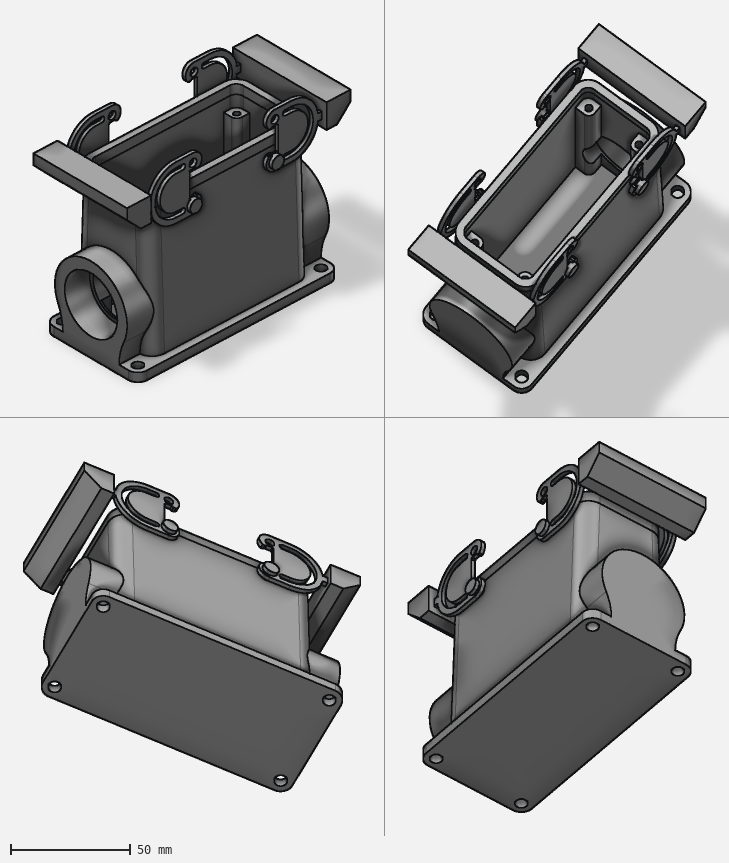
import cadquery as cq
import math

base_x = 56.5
base_y = 117.0
base_height = 5.0
base_corner = 5.5
mount_hole_d = 5.5
mount_hole_x = base_x / 2 - base_corner
mount_hole_y = base_y / 2 - base_corner

wall_bottom_x = 48.1
wall_top_x = 43.0
wall_y = 93.0
wall_corner = 7.6
wall_top_z = 78.7
wall_thickness = 3.6

seal_top_z = 84.0

post_hole_x = 13.4
post_hole_y = 38.7
post_hole_d = 3.2
post_hole_depth = 20.0
post_corner = 3.2
post_edge = 3.4
post_top_z = 72.0

boss_radius = 22.0
boss_z = 27.0
boss_waist = 17.1
entry_radius = 16.0
entry_inner_radius = 14.0
entry_depth = 14.5

bar_x = 57.0
bar_size = 14.0
bar_chamfer = 8.0
bar_outer_y = 129.5 / 2
bar_bottom_z = 78.5
plate_x = 24.6
plate_thickness = 2.0
plate_radius = 15.5
plate_z = 84.5
plate_arc_y = 33.2
hook_y = 23.7
hook_radius = 5.0
hook_hole_d = 4.2
throat_y = 25.6
throat_corner = 0.6
hook_gap = 3.0
tip_start = 1.4
tip_end = 2.3
tip_drop = 3.7
slot_radius = 11.1
slot_width = 2.9
slot_end_y = 28.2
tab_height = 4.0
pin_d = 4.0
pin_head_d = 7.0
pin_head_x = 27.5

cavity_x = wall_top_x - 2 * wall_thickness
cavity_y = wall_y - 2 * wall_thickness
cavity_corner = wall_corner - wall_thickness


def rounded_block(size_x, size_y, corner, bottom_z, top_z):
    block = cq.Workplane("XY").workplane(offset=bottom_z).rect(size_x, size_y)
    return block.extrude(top_z - bottom_z).edges("|Z").fillet(corner)


def cylinder_x(radius, x_start, x_end, y, z):
    start = cq.Workplane("YZ", origin=(x_start, y, z))
    return start.circle(radius).extrude(x_end - x_start)


def make_base():
    base = rounded_block(base_x, base_y, base_corner, 0, base_height)
    holes = base.faces(">Z").workplane().rect(2 * mount_hole_x, 2 * mount_hole_y, forConstruction=True)
    return holes.vertices().hole(mount_hole_d)


def make_walls():
    half_bottom = wall_bottom_x / 2
    half_top = wall_top_x / 2
    section = cq.Workplane("XZ", origin=(0, wall_y / 2, 0)).polyline([
        (-half_bottom, base_height),
        (half_bottom, base_height),
        (half_top, wall_top_z),
        (-half_top, wall_top_z),
    ])
    return section.close().extrude(wall_y).edges("not(|X or |Y)").fillet(wall_corner)


def make_boss_block():
    rise = boss_z - base_height
    foot_radius = (boss_waist**2 + rise**2 - boss_radius**2) / (2 * (boss_radius - boss_waist))
    foot_x = boss_waist + foot_radius
    angle = math.atan2(rise, foot_x)
    half = angle / 2
    tangent = (boss_radius * math.cos(angle), boss_z - boss_radius * math.sin(angle))
    foot_mid = (foot_x - foot_radius * math.cos(half), base_height + foot_radius * math.sin(half))
    profile = (
        cq.Workplane("XZ", origin=(0, base_y / 2, 0))
        .moveTo(-boss_waist, base_height)
        .threePointArc((-foot_mid[0], foot_mid[1]), (-tangent[0], tangent[1]))
        .threePointArc((0, boss_z + boss_radius), tangent)
        .threePointArc(foot_mid, (boss_waist, base_height))
        .close()
    )
    return profile.extrude(base_y)


def make_cavity():
    return rounded_block(cavity_x, cavity_y, cavity_corner, base_height, seal_top_z)


def make_posts():
    reach_x = wall_top_x / 2
    reach_y = wall_y / 2
    inner_x = post_hole_x - post_edge
    inner_y = post_hole_y - post_edge
    posts = cq.Workplane("XY")
    for side_x in (-1, 1):
        for side_y in (-1, 1):
            center = (side_x * (reach_x + inner_x) / 2, side_y * (reach_y + inner_y) / 2)
            post = (
                cq.Workplane("XY", origin=(*center, base_height))
                .rect(reach_x - inner_x, reach_y - inner_y)
                .extrude(post_top_z - base_height)
                .edges("|Z")
                .fillet(post_corner)
            )
            hole = (
                cq.Workplane("XY", origin=(side_x * post_hole_x, side_y * post_hole_y, post_top_z))
                .circle(post_hole_d / 2)
                .extrude(-post_hole_depth)
            )
            posts = posts.add(post.intersect(make_cavity()).cut(hole))
    return posts


def cut_cable_entry(body):
    face = cq.Workplane("XZ", origin=(0, -base_y / 2, boss_z))
    bore = face.circle(entry_radius).extrude(-entry_depth)
    wall_hole = face.circle(entry_inner_radius).extrude(-base_y / 2)
    return body.cut(bore).cut(wall_hole)


def make_plate():
    top_z = plate_radius
    hole_z = plate_radius - hook_radius
    tip_z = hole_z - tip_drop
    edge_z = hole_z - hook_gap
    tip_y = hook_y - math.sqrt(hook_radius**2 - tip_drop**2)
    outline = (
        cq.Workplane("YZ", origin=(-plate_thickness / 2, 0, plate_z))
        .moveTo(plate_arc_y, top_z)
        .threePointArc((plate_arc_y + plate_radius, 0), (plate_arc_y, -top_z))
        .lineTo(hook_y, -top_z)
        .threePointArc((hook_y - hook_radius, -hole_z), (tip_y, -tip_z))
        .lineTo(hook_y - tip_end, -tip_z)
        .lineTo(hook_y - tip_start, -edge_z)
        .lineTo(throat_y - throat_corner, -edge_z)
        .lineTo(throat_y, -edge_z + throat_corner)
        .lineTo(throat_y, edge_z - throat_corner)
        .lineTo(throat_y - throat_corner, edge_z)
        .lineTo(hook_y - tip_start, edge_z)
        .lineTo(hook_y - tip_end, tip_z)
        .lineTo(tip_y, tip_z)
        .threePointArc((hook_y - hook_radius, hole_z), (hook_y, top_z))
        .close()
    )
    plate = outline.extrude(plate_thickness)
    hole = cylinder_x(hook_hole_d / 2, -plate_thickness, plate_thickness, hook_y, plate_z + hole_z)
    return plate.cut(hole).cut(make_slot())


def make_slot():
    inner = slot_radius - slot_width / 2
    outer = slot_radius + slot_width / 2
    straight_end = slot_end_y + slot_width / 2
    return (
        cq.Workplane("YZ", origin=(-plate_thickness, 0, plate_z))
        .moveTo(straight_end, outer)
        .lineTo(plate_arc_y, outer)
        .threePointArc((plate_arc_y + outer, 0), (plate_arc_y, -outer))
        .lineTo(straight_end, -outer)
        .threePointArc((slot_end_y, -slot_radius), (straight_end, -inner))
        .lineTo(plate_arc_y, -inner)
        .threePointArc((plate_arc_y + inner, 0), (plate_arc_y, inner))
        .lineTo(straight_end, inner)
        .threePointArc((slot_end_y, slot_radius), (straight_end, outer))
        .close()
        .extrude(2 * plate_thickness)
    )


def make_bar():
    inner_y = bar_outer_y - bar_size
    top_z = bar_bottom_z + bar_size
    return (
        cq.Workplane("YZ", origin=(-bar_x / 2, 0, 0))
        .moveTo(inner_y, bar_bottom_z)
        .lineTo(bar_outer_y - bar_chamfer, bar_bottom_z)
        .lineTo(bar_outer_y, bar_bottom_z + bar_chamfer)
        .lineTo(bar_outer_y, top_z)
        .lineTo(inner_y, top_z)
        .close()
        .extrude(bar_x)
    )


def make_lever():
    lever = make_bar()
    plate = make_plate()
    tab_start_y = plate_arc_y + slot_radius + slot_width
    tab_end_y = bar_outer_y - bar_size / 2
    tab = cq.Workplane("XY").box(plate_thickness, tab_end_y - tab_start_y, tab_height)
    tab = tab.translate((0, (tab_start_y + tab_end_y) / 2, plate_z))
    pin_z = plate_z - plate_radius + hook_radius
    pin_root_x = wall_top_x / 2 - wall_thickness / 2
    for side in (-1, 1):
        lever = lever.union(plate.union(tab).translate((side * plate_x, 0, 0)))
        lever = lever.union(cylinder_x(pin_d / 2, side * pin_root_x, side * pin_head_x, hook_y, pin_z))
        lever = lever.union(cylinder_x(pin_head_d / 2, side * plate_x, side * pin_head_x, hook_y, pin_z))
    return lever


def make_housing():
    housing = make_base().union(make_walls()).union(make_boss_block()).cut(make_cavity())
    for post in make_posts().vals():
        housing = housing.union(cq.Workplane(post))
    housing = cut_cable_entry(housing)
    lever = make_lever()
    return housing.union(lever).union(lever.mirror("XZ"))


def make_seal():
    ring = rounded_block(wall_top_x, wall_y, wall_corner, wall_top_z, seal_top_z)
    return ring.cut(make_cavity())


housing = make_housing()
seal = make_seal()
result = cq.Compound.makeCompound([housing.solids().val(), seal.solids().val()])